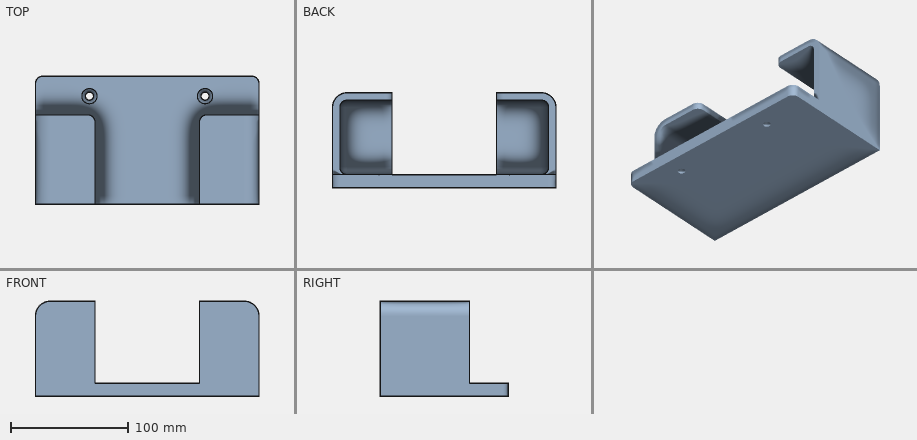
import cadquery as cq

WIDTH = 190.5
DEPTH = 109.22
HEIGHT = 81.09
BASE_THICKNESS = 11.24
CORNER_RADIUS = 6.35

HOLDER_DEPTH = 76.2
HOLDER_GAP = 88.9
WALL = 6.35
INNER_RADIUS = 6.35
OUTER_RADIUS = WALL + INNER_RADIUS

HOLE_SPACING = 98.425
HOLE_REAR_OFFSET = 17.1
HOLE_DIAMETER = 6.7
COUNTERSINK_DIAMETER = 13.0
COUNTERSINK_ANGLE = 82

HOLDER_WIDTH = (WIDTH - HOLDER_GAP) / 2
CAVITY_HEIGHT = HEIGHT - WALL - BASE_THICKNESS


def make_base():
    """Plate with its front edge on Y = 0 and rounded rear corners."""
    plate = cq.Workplane("XY").box(WIDTH, DEPTH, BASE_THICKNESS, centered=(True, False, False))
    return plate.edges("|Z and >Y").fillet(CORNER_RADIUS)


def make_cavity():
    """Rounded pocket of the right holder, overrunning its open inner and rear sides."""
    cavity_width = HOLDER_WIDTH + INNER_RADIUS
    cavity_depth = HOLDER_DEPTH + INNER_RADIUS
    cavity = (
        cq.Workplane("XY")
        .box(cavity_width, cavity_depth, CAVITY_HEIGHT, centered=False)
        .translate((WIDTH / 2 - WALL - cavity_width, WALL, BASE_THICKNESS))
    )
    side_edges = cavity.faces(">X").edges("|Y")
    front_edges = cavity.faces("<Y").edges("|X")
    upright_edge = cavity.edges("|Z and >X and <Y")
    rounded_edges = side_edges.add(front_edges).add(upright_edge)
    return rounded_edges.fillet(INNER_RADIUS)


def make_right_holder():
    """Holder with side wall, front wall and top lip around its cavity."""
    block = (
        cq.Workplane("XY")
        .box(HOLDER_WIDTH, HOLDER_DEPTH, HEIGHT, centered=False)
        .translate((HOLDER_GAP / 2, 0, 0))
    )
    block = block.edges("|Y and >X and >Z").fillet(OUTER_RADIUS)
    block = block.edges("|Z and <X and >Y").fillet(CORNER_RADIUS)
    return block.cut(make_cavity())


def drill_mounting_holes(body):
    """Countersunk through holes along the rear of the base."""
    hole_y = DEPTH - HOLE_REAR_OFFSET
    return (
        body.copyWorkplane(cq.Workplane("XY", origin=(0, 0, BASE_THICKNESS)))
        .pushPoints([(side * HOLE_SPACING / 2, hole_y) for side in (-1, 1)])
        .cskHole(HOLE_DIAMETER, COUNTERSINK_DIAMETER, COUNTERSINK_ANGLE)
    )


right_holder = make_right_holder()
left_holder = right_holder.mirror("YZ")
body = make_base().union(right_holder).union(left_holder)
result = drill_mounting_holes(body)